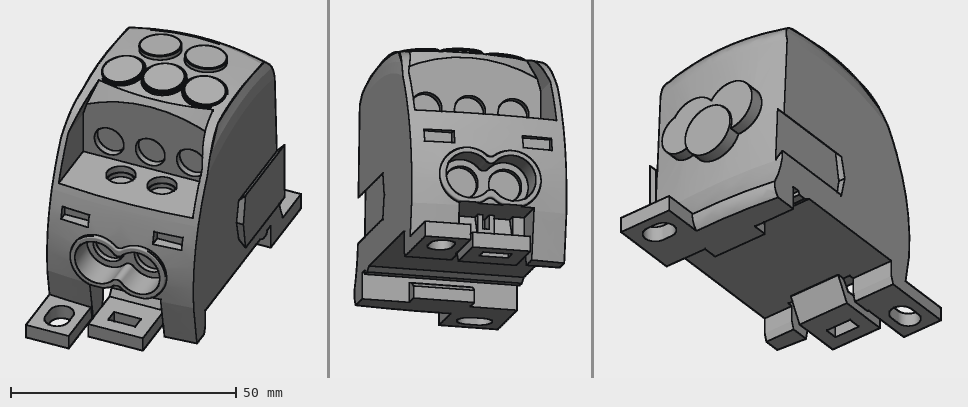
import cadquery as cq
import math


BODY_WIDTH = 35.6
HALF_WIDTH = BODY_WIDTH / 2
TOTAL_LENGTH = 70
BEYOND = 84
TERMINAL_PITCH = 10.0

SIDE_OUTLINE = {
    "front_foot": (13.4, 0),
    "front_knee": (11.55, 10.85),
    "front_face": [(11.7, 21), (14, 31.4)],
    "dome": [(14.7, 33.3), (19.05, 42.15), (24.35, 48.3), (30.8, 50.75), (42, 51.45), (51.3, 50.7)],
    "rear_shoulder": [(54.3, 49.15), (55.7, 45.5)],
    "rear_waist": (57.55, 11.6),
    "rear_flare": [(58.5, 7.7), (60.2, 3.8)],
    "rear_toe": [(60.05, 1.75), (59.0, 0)],
}
MIDDLE_OUTLINE = {
    "front_foot": (12.5, 0),
    "front_knee": (10.5, 10.85),
    "front_face": [(10.65, 21), (12.95, 31.4)],
    "dome": [(13.7, 33.7), (18.2, 42.7), (23.9, 49.3), (30.45, 51.8), (42, 52.65), (54.05, 51.7)],
    "rear_shoulder": [(56.3, 50.2), (57.4, 46.2)],
    "rear_waist": (58.8, 11.6),
    "rear_flare": [(59.85, 7.7), (61.6, 3.8)],
    "rear_toe": [(61.3, 1.75), (60.1, 0)],
}

BEVEL_EDGES = [
    (HALF_WIDTH, [(19.05, 42.15), (40.6, 46.75), (55.65, 45.1)]),
    (17.3, [(22.05, 46.05), (42, 49.4), (54.6, 47.95)]),
    (16.4, [(28, 50.2), (42, 51.45), (53.2, 50.4)]),
]
BEVEL_REACH = 10.5
BEVEL_MARGIN = 0.7
ABOVE_TOP = 63

POCKET_FLOOR = 33.1
POCKET_BACK = 27.8
POCKET_WALL = [(16.3, POCKET_FLOOR), (16.3, 43.4), (15.5, 46.3), (13.9, 51.1)]
ARCH_TOP = 50.0
ARCH_END = POCKET_WALL[2]
ARCH_SLOPE = math.radians(53)
ARCH_RUN = 7
WALL_HOLE_DIAMETER = 7.15
WALL_HOLE_HEIGHT = 37.65
FLOOR_HOLE_DIAMETER = 6.6
FLOOR_HOLE_Y = 23.0
WALL_HOLE_DEPTH = 1.7
FLOOR_HOLE_DEPTH = 2.8
FLOOR_MOUTH_DEPTH = 1.7
FLOOR_HOLE_STEP = 0.15

COLLAR_HEIGHT = 17.7
SOCKET_CENTRES = [(-TERMINAL_PITCH / 2, COLLAR_HEIGHT), (TERMINAL_PITCH / 2, COLLAR_HEIGHT)]
COLLAR_RADIUS = 6.6
COLLAR_LEAN = 3
COLLAR_FRONT = 9.5
COLLAR_BLEND = 1.4
COLLAR_ROUND = 0.35
SOCKET_RADIUS = 5.3
SOCKET_BACK = 16.45
SOCKET_HOLE_DIAMETER = 7.55
SOCKET_HOLE_DEPTH = 1.4

WINDOW_WIDTH = 6.8
WINDOW_X = 11.3
WINDOW_BOTTOM = 25.4
WINDOW_TOP = 28.35
WINDOW_BACK = 14

BOSS_LOBES = [(-5.7, 29.3, 6.3, 61.0), (4.55, 29.3, 6.3, 61.0), (8.05, 28, 5.25, 61.0), (0, 24.85, 6.3, 61.6)]
BOSS_START = 53.2

FRONT_FOOT_WIDTH = 10.4
FRONT_FOOT_HEIGHT = 3.4
REAR_FOOT_WIDTH = 13.5
REAR_FOOT_HEIGHT = 3.9
FOOT_ROOT = 2.1
FOOT_SLOT_LENGTH = 8.0
FOOT_SLOT_WIDTH = 5.6
FRONT_SLOT_CENTRE = (-12.45, 6.15)
REAR_SLOT_CENTRE = (11.05, 64.75)

CHANNEL_FRONT = 18.0
CHANNEL_REAR = 53.5
CHANNEL_TOP = 6.0
CHANNEL_HEEL = (17.35, 1.95)
RIDGE = [(47.75, CHANNEL_TOP), (49.4, 5.1), (51.4, 5.1), (51.5, CHANNEL_TOP)]
HOOK_FRONT = 49.85
HOOK_TIP_HEIGHT = 2.8
HOOK_ROOT_HEIGHT = 4.5
HOOK_CROWN = 0.7
HOOK_WIDTH = 14

OPENING_LEFT = -7.1
OPENING_RIGHT = 10.15
OPENING_TOP = 11.5
OPENING_BACK = 19.25
RAMP_LEFT = -4.75
RAMP_RIGHT = 7.5
RAMP_BACK = 21.7
KEEL_SLOT_BACK = 23.1
KEEL_LEFT = -0.5
KEEL_RIGHT = 3.2
KEEL_SLOT_LEFT = 0.6
KEEL_SLOT_RIGHT = 2.1
KEEL_SLOT_BOTTOM = 8.25
CLIP_LEFT = -5.3
CLIP_RIGHT = 8.0
CLIP_FRONT = 5.95
CLIP_THICKNESS = 3.4
CLIP_RISE_START = 17.5
CLIP_REAR_HEIGHT = 5.9
CLIP_REAR = 21.15
CLIP_WINDOW_WIDTH = 6.6
CLIP_WINDOW_LENGTH = 3.2
CLIP_WINDOW_Y = 10.9

DOVETAIL_DEPTH = 1.7
DOVETAIL_HEIGHT = 19.0
TENON_REAR = 57.3
GROOVE_REAR = 63
DOVETAIL_SHOULDER = 36.05
DOVETAIL_TIP = 34.85
NECK_HALF_HEIGHT = 5.25
FACE_HALF_HEIGHT = 7.15

CAP_RADIUS = 4.75
CAP_HEIGHT = 3.5
CAP_EDGE = 0.2
RIM_RADIUS = 5.1
RIM_STEP = 0.5
REAR_CAPS = [(-5.75, 46.1, 53.35, -3.5, -3), (5.4, 46.1, 53.35, -3.5, 3)]
FRONT_CAPS = [
    (-TERMINAL_PITCH, 35.2, 52.65, 6.5, -6),
    (0, 35.2, 53.35, 6.5, 0),
    (TERMINAL_PITCH, 35.2, 52.65, 6.5, 6),
]


def box(x0, x1, y0, y1, z0, z1):
    """Block between two corners."""
    return cq.Workplane("XY").box(x1 - x0, y1 - y0, z1 - z0, centered=False).translate((x0, y0, z0))


def prism_along_x(points, x0, x1):
    """Straight-sided (Y, Z) outline extruded from x0 to x1."""
    return cq.Workplane("YZ").workplane(offset=x0).polyline(points).close().extrude(x1 - x0)


def rods_along_y(centres, radius, y0, y1):
    """Round bars at (X, Z) centres, running from y0 to y1."""
    plane = cq.Workplane("XZ", origin=(0, y0, 0))
    return plane.pushPoints(centres).circle(radius).extrude(y0 - y1)


def body_section(x, outline):
    """Closed body outline in the plane at x."""
    section = (
        cq.Workplane("YZ", origin=(x, 0, 0))
        .moveTo(*outline["front_foot"])
        .lineTo(*outline["front_knee"])
        .threePointArc(*outline["front_face"])
        .spline(outline["dome"], includeCurrent=True)
        .threePointArc(*outline["rear_shoulder"])
        .lineTo(*outline["rear_waist"])
        .threePointArc(*outline["rear_flare"])
        .threePointArc(*outline["rear_toe"])
        .close()
    )
    return section.val()


def body():
    """Barrel-shaped body, fuller in the middle than at its flat sides."""
    sections = [
        body_section(-HALF_WIDTH, SIDE_OUTLINE),
        body_section(0, MIDDLE_OUTLINE),
        body_section(HALF_WIDTH, SIDE_OUTLINE),
    ]
    return cq.Workplane(cq.Solid.makeLoft(sections))


def bevel_cutter():
    """Everything above the bevel edges on the right side."""
    wires = []
    outermost = (HALF_WIDTH + BEVEL_MARGIN, BEVEL_EDGES[0][1])
    for x, (front, middle, rear) in [outermost] + BEVEL_EDGES:
        wire = (
            cq.Workplane("YZ", origin=(x, 0, 0))
            .moveTo(front[0] - BEVEL_REACH, ABOVE_TOP)
            .lineTo(front[0], front[1])
            .threePointArc(middle, rear)
            .lineTo(rear[0] + BEVEL_REACH, rear[1])
            .lineTo(rear[0] + BEVEL_REACH, ABOVE_TOP)
            .close()
        )
        wires.append(wire.val())
    return cq.Workplane(cq.Solid.makeLoft(wires, True))


def pocket():
    """Front pocket with a flat floor and a sloping arched brow over its back wall."""
    inset_top = POCKET_WALL[-1]
    right_side = POCKET_WALL + [(inset_top[0], ABOVE_TOP)]
    left_side = [(-x, z) for x, z in reversed(right_side)]
    brow_back = POCKET_BACK + ARCH_RUN
    passage = cq.Workplane("XZ").polyline(right_side + left_side).close().extrude(-brow_back)
    room = passage.intersect(box(-BEYOND, BEYOND, 0, POCKET_BACK, 0, BEYOND))

    brow = (
        cq.Workplane("XZ", origin=(0, POCKET_BACK, 0))
        .moveTo(-ARCH_END[0], ARCH_END[1])
        .threePointArc((0, ARCH_TOP), ARCH_END)
        .lineTo(*inset_top)
        .lineTo(inset_top[0], ABOVE_TOP)
        .lineTo(-inset_top[0], ABOVE_TOP)
        .lineTo(-inset_top[0], inset_top[1])
        .close()
    )
    slope = cq.Vector(0, ARCH_RUN, ARCH_RUN * math.tan(ARCH_SLOPE))
    brow_room = cq.Workplane(cq.Solid.extrudeLinear(brow.val(), [], slope))
    room = room.union(brow_room.intersect(passage))

    wall_centres = [(i * TERMINAL_PITCH, WALL_HOLE_HEIGHT) for i in (-1, 0, 1)]
    wall_holes = rods_along_y(
        wall_centres, WALL_HOLE_DIAMETER / 2, POCKET_BACK, POCKET_BACK + WALL_HOLE_DEPTH
    )
    floor_plane = cq.Workplane("XY", origin=(0, FLOOR_HOLE_Y, POCKET_FLOOR))
    floor_centres = floor_plane.pushPoints([(-TERMINAL_PITCH / 2, 0), (TERMINAL_PITCH / 2, 0)])
    mouths = floor_centres.circle(FLOOR_HOLE_DIAMETER / 2).extrude(-FLOOR_MOUTH_DEPTH)
    bores = floor_centres.circle(FLOOR_HOLE_DIAMETER / 2 - FLOOR_HOLE_STEP).extrude(-FLOOR_HOLE_DEPTH)
    return room.union(wall_holes).union(mouths).union(bores)


def twin_round(radius, y0, y1):
    """Figure-eight bar along Y with a rounded waist."""
    left, right = [rods_along_y([centre], radius, y0, y1) for centre in SOCKET_CENTRES]
    waist = cq.selectors.BoxSelector((-radius / 2, -BEYOND, -BEYOND), (radius / 2, BEYOND, BEYOND))
    return left.union(right).edges("|Y").edges(waist).fillet(COLLAR_BLEND)


def collar():
    """Figure-eight collar standing out of the front face and leaning back slightly."""
    ring = twin_round(COLLAR_RADIUS, COLLAR_FRONT, SOCKET_BACK).faces("<Y").edges().fillet(COLLAR_ROUND)
    bottom = (0, COLLAR_FRONT, COLLAR_HEIGHT - COLLAR_RADIUS)
    return ring.rotate(bottom, (1, bottom[1], bottom[2]), -COLLAR_LEAN)


def socket():
    """Figure-eight socket with two shallow holes in its end wall."""
    bore = twin_round(SOCKET_RADIUS, 0, SOCKET_BACK)
    holes = rods_along_y(
        SOCKET_CENTRES, SOCKET_HOLE_DIAMETER / 2, SOCKET_BACK, SOCKET_BACK + SOCKET_HOLE_DEPTH
    )
    return bore.union(holes)


def window(x):
    """Latch window centred at x."""
    half = WINDOW_WIDTH / 2
    return box(x - half, x + half, 0, WINDOW_BACK, WINDOW_BOTTOM, WINDOW_TOP)


def rear_boss():
    """Cluster of round lobes on the rear face."""
    boss = cq.Workplane("XY")
    for x, z, radius, end in BOSS_LOBES:
        boss = boss.union(rods_along_y([(x, z)], radius, BOSS_START, end))
    return boss


def cap(x, y, z, tilt_x, tilt_y, rimmed):
    """Tilted round cap whose top face is centred at (x, y, z)."""
    disc = cq.Workplane("XY").circle(CAP_RADIUS).extrude(-CAP_HEIGHT).faces(">Z").edges().chamfer(CAP_EDGE)
    if rimmed:
        rim = cq.Workplane("XY", origin=(0, 0, -RIM_STEP)).circle(RIM_RADIUS).extrude(RIM_STEP - CAP_HEIGHT)
        disc = disc.union(rim)
    disc = disc.rotate((0, 0, 0), (1, 0, 0), tilt_x)
    disc = disc.rotate((0, 0, 0), (0, 1, 0), tilt_y)
    return disc.translate((x, y, z))


def foot_slot(centre, angle):
    """Fixing slot through a foot."""
    slot = cq.Workplane("XY").center(*centre).slot2D(FOOT_SLOT_LENGTH, FOOT_SLOT_WIDTH, angle)
    return slot.extrude(REAR_FOOT_HEIGHT)


def feet():
    """Front foot on the left and rear foot on the right, each with a fixing slot."""
    front_end = SIDE_OUTLINE["front_foot"][0] + FOOT_ROOT
    rear_start = SIDE_OUTLINE["rear_toe"][1][0] - FOOT_ROOT
    front = box(-HALF_WIDTH, FRONT_FOOT_WIDTH - HALF_WIDTH, 0, front_end, 0, FRONT_FOOT_HEIGHT)
    rear = box(HALF_WIDTH - REAR_FOOT_WIDTH, HALF_WIDTH, rear_start, TOTAL_LENGTH, 0, REAR_FOOT_HEIGHT)
    front = front.cut(foot_slot(FRONT_SLOT_CENTRE, 90))
    rear = rear.cut(foot_slot(REAR_SLOT_CENTRE, 0))
    return front.union(rear)


def rail_channel():
    """Channel across the underside with a ridge left in its roof."""
    heel_y, heel_z = CHANNEL_HEEL
    outline = [(heel_y, 0), (CHANNEL_FRONT, heel_z), (CHANNEL_FRONT, CHANNEL_TOP)]
    outline += RIDGE
    outline += [(CHANNEL_REAR, CHANNEL_TOP), (CHANNEL_REAR, 0)]
    return prism_along_x(outline, -BEYOND, BEYOND)


def rail_hook():
    """Rounded hook at the rear of the rail channel."""
    rise = HOOK_ROOT_HEIGHT - HOOK_TIP_HEIGHT
    middle = ((HOOK_FRONT + CHANNEL_REAR) / 2, HOOK_TIP_HEIGHT + HOOK_CROWN * rise)
    return (
        cq.Workplane("YZ", origin=(-HOOK_WIDTH / 2, 0, 0))
        .moveTo(CHANNEL_REAR, 0)
        .lineTo(HOOK_FRONT, 0)
        .lineTo(HOOK_FRONT, HOOK_TIP_HEIGHT)
        .threePointArc(middle, (CHANNEL_REAR, HOOK_ROOT_HEIGHT))
        .close()
        .extrude(HOOK_WIDTH)
    )


def clip_opening():
    """Opening under the collar, ending in a ramp split by a slotted keel."""
    opening = box(OPENING_LEFT, OPENING_RIGHT, 0, OPENING_BACK, 0, OPENING_TOP)
    ramp = [(OPENING_BACK, CHANNEL_TOP), (RAMP_BACK, OPENING_TOP), (OPENING_BACK, OPENING_TOP)]
    ramp_room = prism_along_x(ramp, RAMP_LEFT, RAMP_RIGHT)
    keel = box(KEEL_LEFT, KEEL_RIGHT, OPENING_BACK, RAMP_BACK, CHANNEL_TOP, OPENING_TOP)
    keel_slot = box(
        KEEL_SLOT_LEFT, KEEL_SLOT_RIGHT, OPENING_BACK, KEEL_SLOT_BACK, KEEL_SLOT_BOTTOM, OPENING_TOP
    )
    return opening.union(ramp_room.cut(keel)).union(keel_slot)


def clip():
    """Sliding clip with a pull window in front and a sloping rail edge behind."""
    profile = [
        (CLIP_FRONT, 0),
        (CHANNEL_FRONT, 0),
        (CLIP_REAR, CLIP_REAR_HEIGHT),
        (CLIP_REAR, CHANNEL_TOP),
        (OPENING_BACK, CHANNEL_TOP),
        (CLIP_RISE_START, CLIP_THICKNESS),
        (CLIP_FRONT, CLIP_THICKNESS),
    ]
    middle = (CLIP_LEFT + CLIP_RIGHT) / 2
    pull_window = cq.Workplane("XY").center(middle, CLIP_WINDOW_Y).rect(CLIP_WINDOW_WIDTH, CLIP_WINDOW_LENGTH)
    return prism_along_x(profile, CLIP_LEFT, CLIP_RIGHT).cut(pull_window.extrude(CLIP_THICKNESS))


def dovetail(x, rear):
    """Flared dovetail from its pointed front end to rear, standing on the plane at x."""
    wires = []
    for offset, half in [(0, NECK_HALF_HEIGHT), (DOVETAIL_DEPTH, FACE_HALF_HEIGHT)]:
        outline = [
            (rear, DOVETAIL_HEIGHT - half),
            (DOVETAIL_SHOULDER, DOVETAIL_HEIGHT - half),
            (DOVETAIL_TIP, DOVETAIL_HEIGHT),
            (DOVETAIL_SHOULDER, DOVETAIL_HEIGHT + half),
            (rear, DOVETAIL_HEIGHT + half),
        ]
        wires.append(cq.Workplane("YZ", origin=(x + offset, 0, 0)).polyline(outline).close().val())
    return cq.Workplane(cq.Solid.makeLoft(wires, True))


right_bevel = bevel_cutter()
result = body().cut(right_bevel).cut(right_bevel.mirror("YZ"))
result = result.cut(pocket())
result = result.union(rear_boss()).union(feet())
for cap_place in REAR_CAPS:
    result = result.union(cap(*cap_place, rimmed=False))
for cap_place in FRONT_CAPS:
    result = result.union(cap(*cap_place, rimmed=True))
result = result.union(collar()).cut(socket())
for window_x in (-WINDOW_X, WINDOW_X):
    result = result.cut(window(window_x))
result = result.cut(rail_channel()).cut(clip_opening())
result = result.union(rail_hook()).union(clip())
result = result.union(dovetail(HALF_WIDTH, TENON_REAR)).cut(dovetail(-HALF_WIDTH, GROOVE_REAR))